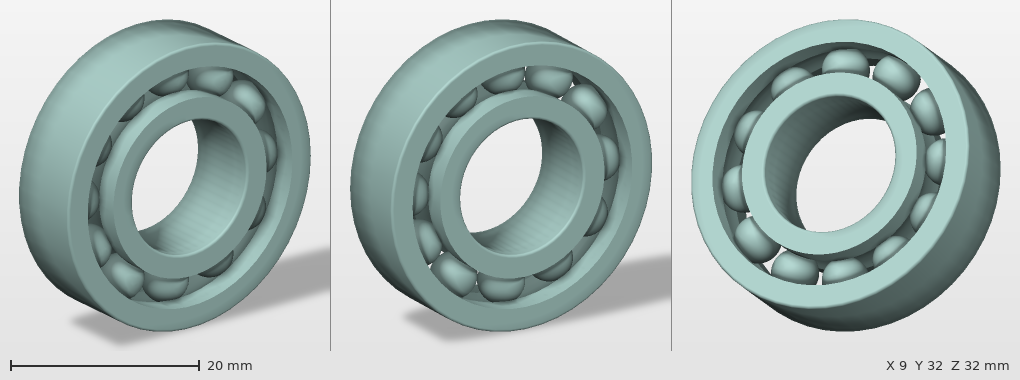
import cadquery as cq

width = 9.0
outer_diameter = 32.0
bore_diameter = 15.0
inner_ring_diameter = 20.1
outer_ring_bore = 26.88
edge_fillet = 0.3
pitch_radius = 11.68
ball_count = 12
ball_diameter = 5.12
race_clearance = 0.03

ball_radius = ball_diameter / 2
groove_radius = ball_radius - race_clearance


def ring(outside, inside):
    """Plain ring along X, centred on the origin."""
    return (
        cq.Workplane("YZ", origin=(-width / 2, 0, 0))
        .circle(outside / 2)
        .circle(inside / 2)
        .extrude(width)
    )


def ball(angle):
    """Ball on the pitch circle, turned about X by the given angle."""
    return (
        cq.Workplane("XY")
        .sphere(ball_radius)
        .translate((0, 0, pitch_radius))
        .rotate((0, 0, 0), (1, 0, 0), angle)
    )


end_faces = "<X or >X"
bore_edges = cq.selectors.RadiusNthSelector(0)
rim_edges = cq.selectors.RadiusNthSelector(-1)
inner_ring = (
    ring(inner_ring_diameter, bore_diameter)
    .faces(end_faces)
    .edges(bore_edges)
    .fillet(edge_fillet)
)
outer_ring = (
    ring(outer_diameter, outer_ring_bore)
    .faces(end_faces)
    .edges(rim_edges)
    .fillet(edge_fillet)
)

groove = (
    cq.Workplane("XY")
    .center(0, pitch_radius)
    .circle(groove_radius)
    .revolve(360, (0, -pitch_radius, 0), (1, -pitch_radius, 0))
)
result = inner_ring.union(outer_ring).cut(groove)

for index in range(ball_count):
    result = result.union(ball(index * 360 / ball_count))